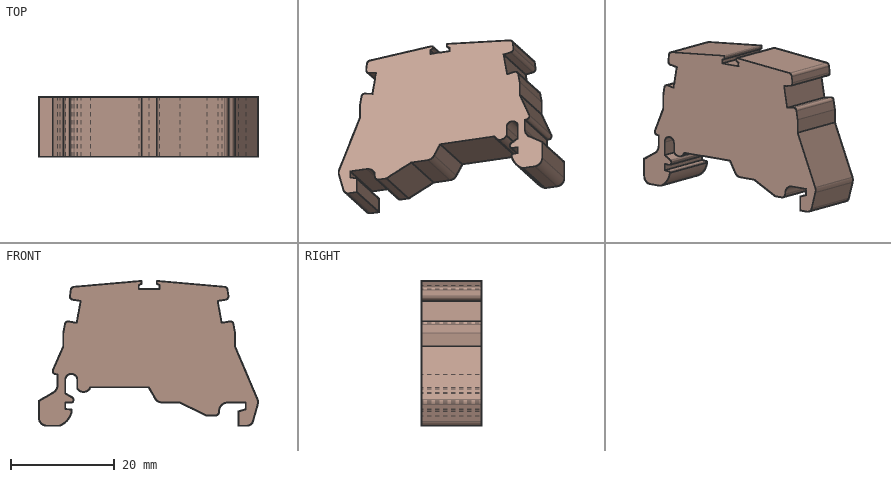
import cadquery as cq
import math

width = 11.55
height = 27.9
center_x = 21.23

slot_half = 2.0
slot_floor_z = 26.35
slot_side_top_z = 27.05
lip_half = 1.45
lip_bottom_z = 27.35
lip_round = 0.2
cap_slope = math.radians(5)
cap_top_half = 15.02
cap_bottom_half = 15.35
cap_bottom_z = 24.35
cap_round = 0.68
neck_top_half = 13.2
neck_top_z = 24.0
neck_bottom_half = 13.95
neck_bottom_z = 19.85
shoulder_half = 16.1
shoulder_z = 20.2
shoulder_round = 0.65
side_half = 16.55
side_top_z = 17.9
side_bottom_z = 15.28

lip_half_angle = (math.pi / 2 - cap_slope) / 2
lip_corner_z = height + lip_round * (1 / math.tan(lip_half_angle) - 1)
cap_top_z = lip_corner_z - (cap_top_half - lip_half) * math.tan(cap_slope)

body_bottom_z = 7.4
rail_z = 4.47

ledge_z = 9.9
ledge_tip_x = 2.3
ledge_round = 0.65
arm_x = 3.6
arm_round = 1.77
foot_slope = math.radians(30)
foot_top_z = 4.8
foot_round = 1.5
foot_flat_end_x = 4.0
foot_arc_middle = (5.45, 1.0)
foot_arc_end = (6.37, 2.9)
toe = (6.25, 3.15)
toe_round = 0.15
foot_inner_x = 5.1
notch_bottom_z = 3.25
barb_tip_x = 6.65
barb_top_z = 6.25
barb_round = 0.42

relief_right_x = 7.4
relief_top_z = 9.95
relief_round = 1.1
bead_start_z = 7.17
bead_lowest = (8.6, 6.5)
bead_end_x = 9.9

step_x = 21.15
step_slope = math.radians(60)
step_round = 1.5
support_start_x = 27.1
support_bottom_x = 32.3
support_bottom_z = 1.95
support_end_x = 34.7
support_round = 0.8
rail_recess_round = 1.7
hook_gap_x = 39.8
hook_gap_z = 3.2
hook_tip_x = 38.4
hook_tip_z = 2.8
hook_bottom_x = 40.98
hook_bottom_round = 1.2
hook_outer_x = 42.3
hook_outer_z = 4.65
hook_outer_round = 1.48


def toward(start, end, distance):
    """Point at a distance from start on the way to end."""
    length = math.dist(start, end)
    return tuple(a + (b - a) * distance / length for a, b in zip(start, end))


def rounded_lines(path, start, corners):
    """Draw lines from start through (x, z, radius) corners, rounding those with a radius."""
    points = [start] + [(x, z) for x, z, _ in corners]
    for i, (x, z, radius) in enumerate(corners, start=1):
        corner = (x, z)
        if radius == 0:
            path = path.lineTo(*corner)
            continue
        before, after = points[i - 1], points[i + 1]
        to_before = toward((0, 0), (before[0] - x, before[1] - z), 1)
        to_after = toward((0, 0), (after[0] - x, after[1] - z), 1)
        cosine = to_before[0] * to_after[0] + to_before[1] * to_after[1]
        half_angle = math.acos(cosine) / 2
        arc_start = toward(corner, before, radius / math.tan(half_angle))
        arc_end = toward(corner, after, radius / math.tan(half_angle))
        chord_middle = toward(arc_start, arc_end, math.dist(arc_start, arc_end) / 2)
        arc_middle = toward(corner, chord_middle, radius / math.sin(half_angle) - radius)
        path = path.lineTo(*arc_start).threePointArc(arc_middle, arc_end)
    return path


def upper_side(side):
    """Corners of one upper side from the bottom up to the slot; side is -1 (left) or 1 (right)."""
    half_outline = [
        (side_half, side_bottom_z, 0),
        (side_half, side_top_z, 0),
        (shoulder_half, shoulder_z, shoulder_round),
        (neck_bottom_half, neck_bottom_z, 0),
        (neck_top_half, neck_top_z, 0),
        (cap_bottom_half, cap_bottom_z, cap_round),
        (cap_top_half, cap_top_z, cap_round),
        (lip_half, lip_corner_z, lip_round),
        (lip_half, lip_bottom_z, lip_round),
        (slot_half, slot_side_top_z, 0),
        (slot_half, slot_floor_z, 0),
    ]
    return [(center_x + side * half, z, radius) for half, z, radius in half_outline]


foot_inside = [
    (*toe, toe_round),
    (foot_inner_x, notch_bottom_z, 0),
    (foot_inner_x, rail_z, 0),
    (barb_tip_x, rail_z, barb_round),
    (barb_tip_x, barb_top_z - (barb_tip_x - foot_inner_x) * math.tan(foot_slope), barb_round),
    (foot_inner_x, barb_top_z, 0),
    (foot_inner_x, relief_top_z, relief_round),
    (relief_right_x, relief_top_z, relief_round),
    (relief_right_x, bead_start_z, 0),
]

underside = [
    (step_x, body_bottom_z, 0),
    (step_x + (body_bottom_z - rail_z) / math.tan(step_slope), rail_z, step_round),
    (support_start_x, rail_z, 0),
    (support_bottom_x, support_bottom_z, 0),
    (support_end_x, support_bottom_z, support_round),
    (support_end_x, rail_z, rail_recess_round),
    (hook_gap_x, rail_z, 0),
    (hook_gap_x, hook_gap_z, 0),
    (hook_tip_x, hook_tip_z, 0),
    (hook_tip_x, 0, 0),
    (hook_bottom_x, 0, hook_bottom_round),
    (hook_outer_x, hook_outer_z, hook_outer_round),
]

foot_outside = [
    (ledge_tip_x, ledge_z, ledge_round),
    (arm_x, ledge_z, 0),
    (arm_x, foot_top_z + arm_x * math.tan(foot_slope), arm_round),
    (0, foot_top_z, 0),
    (0, 0, foot_round),
    (foot_flat_end_x, 0, 0),
]

sole_end = (foot_flat_end_x, 0)
bead_end = (bead_end_x, body_bottom_z)
profile = cq.Workplane("XZ").moveTo(*sole_end).threePointArc(foot_arc_middle, foot_arc_end)
profile = rounded_lines(profile, foot_arc_end, foot_inside)
profile = profile.threePointArc(bead_lowest, bead_end)
rest_of_outline = underside + upper_side(1) + upper_side(-1)[::-1] + foot_outside
profile = rounded_lines(profile, bead_end, rest_of_outline)

result = profile.close().extrude(width / 2, both=True)